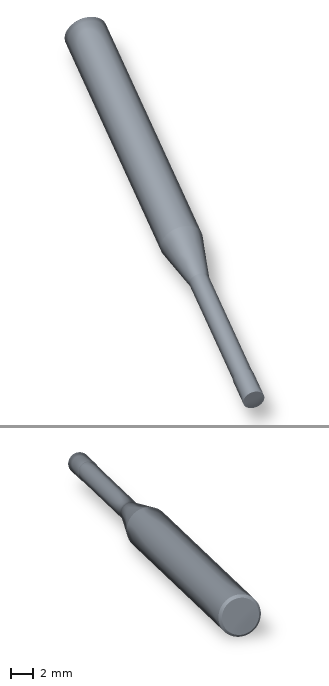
import cadquery as cq

total_length = 50.0
shank_diameter = 4.0
shank_length = 28.65
shank_chamfer = 0.25
taper_length = 5.25
neck_diameter = 1.9
tip_diameter = 2.0
tip_length = 3.0

back_x = -total_length / 2
front_x = total_length / 2
taper_start_x = back_x + shank_length
taper_end_x = taper_start_x + taper_length
tip_start_x = front_x - tip_length

shank_radius = shank_diameter / 2
neck_radius = neck_diameter / 2
tip_radius = tip_diameter / 2

half_profile = (
    cq.Workplane("XY")
    .moveTo(back_x, 0)
    .lineTo(back_x, shank_radius - shank_chamfer)
    .lineTo(back_x + shank_chamfer, shank_radius)
    .lineTo(taper_start_x, shank_radius)
    .lineTo(taper_end_x, neck_radius)
    .lineTo(tip_start_x, neck_radius)
    .lineTo(tip_start_x, tip_radius)
    .lineTo(front_x, tip_radius)
    .lineTo(front_x, 0)
    .close()
)

result = half_profile.revolve(360, (0, 0, 0), (1, 0, 0))